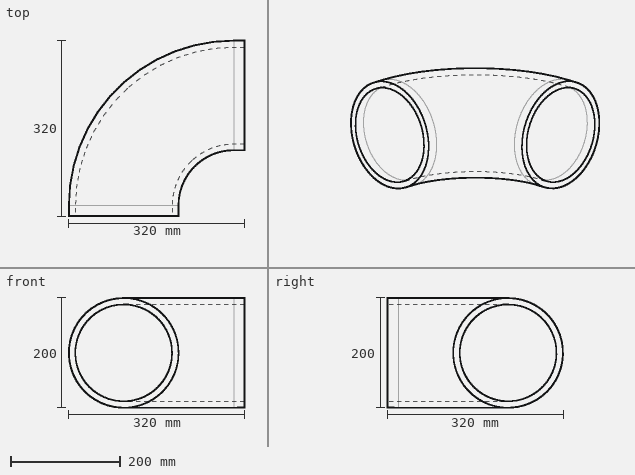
import cadquery as cq

outer_diameter = 200.0
bore_diameter = 176.2
bend_radius = 200.0
bend_angle = 90.0
collar_length = 20.0



def ring_profile(plane):
    """Pipe cross-section, centred on the origin of the given plane."""
    return cq.Workplane(plane).circle(outer_diameter / 2).circle(bore_diameter / 2)


def make_collar(center, direction):
    """Straight pipe end that starts at center and runs outward along direction."""
    end_plane = cq.Plane(origin=center, xDir=(0, 0, 1), normal=direction)
    return ring_profile(end_plane).extrude(collar_length)


def make_bend():
    """Quarter-torus pipe between the two end sections."""
    start_plane = cq.Plane(origin=(-bend_radius, 0, 0), xDir=(1, 0, 0), normal=(0, -1, 0))
    return ring_profile(start_plane).revolve(bend_angle, (bend_radius, 1, 0), (bend_radius, 0, 0))


bend = make_bend()
front_collar = make_collar((-bend_radius, 0, 0), (0, -1, 0))
side_collar = make_collar((0, bend_radius, 0), (1, 0, 0))

result = bend.union(front_collar).union(side_collar)